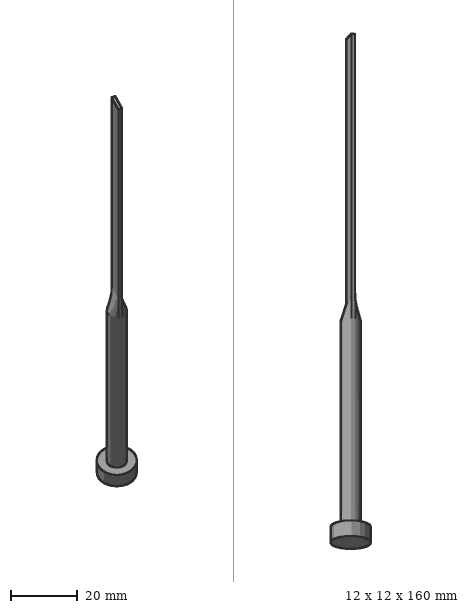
import cadquery as cq
import math

total_length = 160.0
head_diameter = 12.0
head_height = 5.0
shaft_diameter = head_diameter / 2
blade_length = 82.0
blade_width = 5.5
blade_thickness = 1.2
taper_length = 7.8

shaft_radius = shaft_diameter / 2
blade_base = total_length - blade_length
shaft_top = blade_base - taper_length


def flat_blade():
    """Thin rectangular blade at the tip."""
    return (
        cq.Workplane("XY")
        .workplane(offset=blade_base)
        .rect(blade_width, blade_thickness)
        .extrude(blade_length)
    )


def transition():
    """Loft from the round shaft to the rectangular blade root."""
    half_width = blade_width / 2
    half_thickness = blade_thickness / 2
    corner_angle = math.atan2(half_thickness, half_width)
    corner_x = shaft_radius * math.cos(corner_angle)
    corner_y = shaft_radius * math.sin(corner_angle)
    return (
        cq.Workplane("XY")
        .workplane(offset=shaft_top)
        .moveTo(corner_x, -corner_y)
        .threePointArc((shaft_radius, 0), (corner_x, corner_y))
        .threePointArc((0, shaft_radius), (-corner_x, corner_y))
        .threePointArc((-shaft_radius, 0), (-corner_x, -corner_y))
        .threePointArc((0, -shaft_radius), (corner_x, -corner_y))
        .close()
        .workplane(offset=taper_length)
        .moveTo(half_width, -half_thickness)
        .lineTo(half_width, half_thickness)
        .lineTo(-half_width, half_thickness)
        .lineTo(-half_width, -half_thickness)
        .close()
        .loft(ruled=True)
    )


head = cq.Workplane("XY").circle(head_diameter / 2).extrude(head_height)
shaft = cq.Workplane("XY").circle(shaft_radius).extrude(shaft_top)

result = head.union(shaft).union(transition()).union(flat_blade())